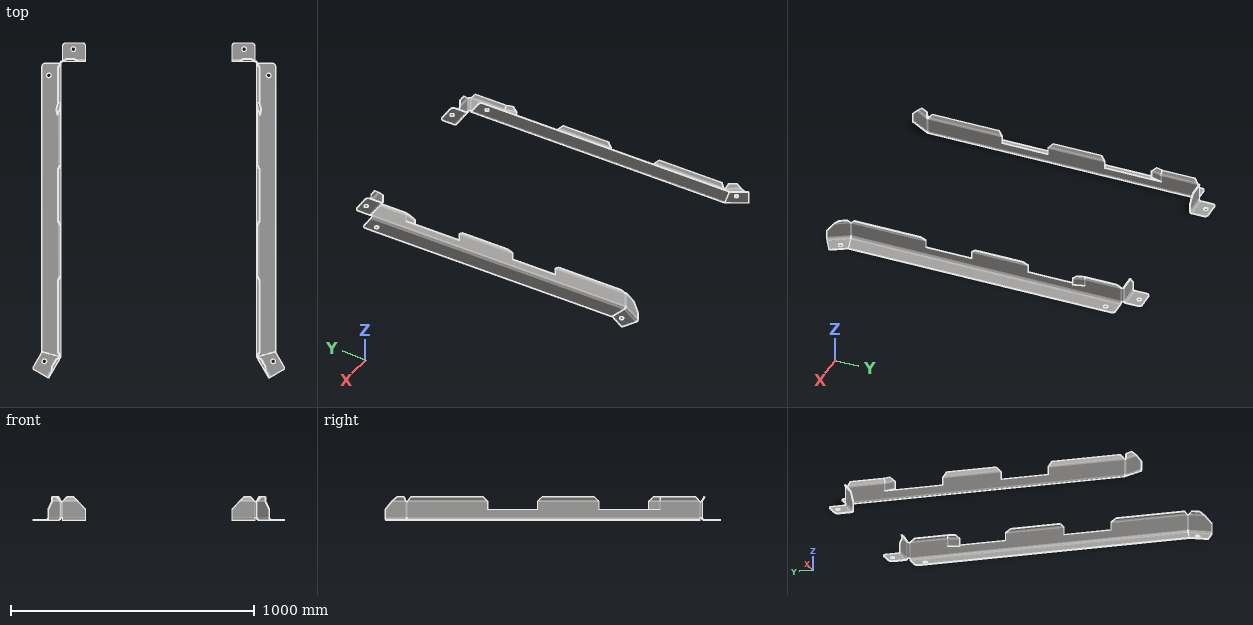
import cadquery as cq
import math


thickness = 4.0
inner_radius = 6.0
outer_radius = inner_radius + thickness
front_angle = 30.0
tab_angle = 30.0
lug_angle = 15.0

flange_width = 79.0
back_flange_width = 77.5
front_flange_width = 78.0
wall_height = 80.0
tab_length = 20.0
notch_floor = 45.0
section_margin = 10.0

overall_y = 1375.0
overall_x = 1032.49
end_run_length = 101.0
corner_radius = 14.0
front_corner_radius = 7.0
mitre_gap = 0.5

wall_slope_run = 30.0
free_inset = 20.0
front_bend_inset = 16.0
back_bend_inset = 18.0

lug_root = 440.0
lug_length = 50.0
middle_tab_back = 190.0
middle_tab_front = -63.0
front_tab_back = -266.0

hole_diameter = 18.0
hole_offset = 50.0
side_hole_from_back = 50.0
front_hole_from_bend = 50.0
back_hole_from_edge = 26.0

front_rad = math.radians(front_angle)
tab_rad = math.radians(tab_angle)
half_turn_tan = math.tan(front_rad / 2)
bend_setback = outer_radius * half_turn_tan
tab_bend_setback = outer_radius * math.tan(tab_rad / 2)
shoulder = wall_height - tab_bend_setback
top = wall_height + tab_length * math.cos(tab_rad)
front_corner_y = -overall_y / 2 + end_run_length * math.cos(front_rad)
back_wall_y = overall_y / 2 - back_flange_width
tip_reach = (
    (end_run_length - front_corner_radius) * math.sin(front_rad)
    + (front_flange_width - front_corner_radius) * math.cos(front_rad)
    + front_corner_radius
)
wall_x = -overall_x / 2 + tip_reach
side_front = front_corner_y + bend_setback
side_back = back_wall_y - inner_radius


def section(start, end, width):
    """Flange, wall and leaning tab, extruded along the run from start to end."""
    sin_tab = math.sin(tab_rad)
    cos_tab = math.cos(tab_rad)
    half_sin = math.sin(tab_rad / 2)
    half_cos = math.cos(tab_rad / 2)
    corner = math.sqrt(0.5)

    def on_flange_bend(radius):
        return (outer_radius - radius * corner, outer_radius - radius * corner)

    def on_tab_bend(radius, sine, cosine):
        return (outer_radius - radius * cosine, shoulder + radius * sine)

    tip = (tab_length * sin_tab, top)
    inner_tip = (tip[0] + thickness * cos_tab, tip[1] - thickness * sin_tab)
    profile = (
        cq.Workplane("YZ")
        .moveTo(width, 0)
        .lineTo(outer_radius, 0)
        .threePointArc(on_flange_bend(outer_radius), (0, outer_radius))
        .lineTo(0, shoulder)
        .threePointArc(
            on_tab_bend(outer_radius, half_sin, half_cos), on_tab_bend(outer_radius, sin_tab, cos_tab)
        )
        .lineTo(*tip)
        .lineTo(*inner_tip)
        .lineTo(*on_tab_bend(inner_radius, sin_tab, cos_tab))
        .threePointArc(on_tab_bend(inner_radius, half_sin, half_cos), (thickness, shoulder))
        .lineTo(thickness, outer_radius)
        .threePointArc(on_flange_bend(inner_radius), (outer_radius, thickness))
        .lineTo(width, thickness)
        .close()
    )
    return profile.extrude(end - start).translate((start, 0, 0))


def elevation(points):
    """Prism through the whole width of a run with the given outline along and up the wall."""
    depth = 2 * (flange_width + section_margin)
    return cq.Workplane("XZ").polyline(points).close().extrude(depth / 2, both=True)


def plan(points, round_corners, radius):
    """Prism through the whole height of a run, with the listed flange corners rounded."""
    prism = cq.Workplane("XY").polyline(points).close().extrude(top)
    for x, y in round_corners:
        prism = prism.edges(cq.selectors.NearestToPointSelector((x, y, top / 2))).fillet(radius)
    return prism


def hole(x, y):
    return cq.Workplane("XY").center(x, y).circle(hole_diameter / 2).extrude(outer_radius)


def place(run, x, y, turn):
    return run.rotate((0, 0, 0), (0, 0, 1), turn).translate((x, y, 0))


def vertical_bend(x, y, start_angle, sweep):
    """Curved wall joining two runs, clear of the flange bends."""
    bend = (
        cq.Workplane("XZ")
        .moveTo(inner_radius, outer_radius)
        .lineTo(outer_radius, outer_radius)
        .lineTo(outer_radius, shoulder)
        .lineTo(inner_radius, shoulder)
        .close()
        .revolve(sweep, (0, 0, 0), (0, 1, 0))
    )
    return place(bend, x, y, start_angle)


def back_run():
    start = inner_radius
    end = end_run_length
    tab_end = end - wall_slope_run
    outline = [
        (start, 0),
        (end, 0),
        (end, notch_floor),
        (tab_end, shoulder),
        (tab_end - free_inset, top),
        (start + back_bend_inset, top),
        (start, shoulder),
    ]
    width = back_flange_width
    footprint = [(start, 0), (end, 0), (end, width), (start, width)]
    run = section(start, end, width).intersect(elevation(outline))
    run = run.intersect(plan(footprint, [(start, width), (end, width)], corner_radius))
    run = run.cut(hole(end_run_length / 2, width - back_hole_from_edge))
    return place(run, wall_x, back_wall_y, 0)


def side_run():
    lug_end = lug_root - lug_length
    outline = [
        (side_front, 0),
        (side_back, 0),
        (side_back, shoulder),
        (side_back - back_bend_inset, top),
        (lug_root, top),
        (lug_root, notch_floor),
        (middle_tab_back, notch_floor),
        (middle_tab_back, shoulder),
        (middle_tab_back - free_inset, top),
        (middle_tab_front + free_inset, top),
        (middle_tab_front, shoulder),
        (middle_tab_front, notch_floor),
        (front_tab_back, notch_floor),
        (front_tab_back, shoulder),
        (front_tab_back - free_inset, top),
        (side_front + front_bend_inset, top),
        (side_front, shoulder),
    ]
    mitre_end = front_corner_y + flange_width * half_turn_tan + mitre_gap / 2
    footprint = [
        (side_front, 0),
        (side_front, outer_radius),
        (mitre_end, flange_width),
        (side_back, flange_width),
        (side_back, 0),
    ]
    lug_outline = [
        (lug_root, notch_floor),
        (lug_root, top),
        (lug_end + free_inset, top),
        (lug_end, shoulder),
        (lug_end, notch_floor),
    ]
    whole = section(side_front, side_back, flange_width)
    run = whole.intersect(elevation(outline))
    run = run.intersect(plan(footprint, [(side_back, flange_width)], corner_radius))
    run = run.cut(hole(side_back - side_hole_from_back, hole_offset))
    lug = whole.intersect(elevation(lug_outline))
    lug = lug.rotate((lug_root, 0, 0), (lug_root, 0, 1), -lug_angle)
    return place(run.union(lug), wall_x, 0, 90)


def front_run():
    start = -end_run_length
    end = -bend_setback
    tab_start = start + wall_slope_run
    outline = [
        (start, 0),
        (end, 0),
        (end, shoulder),
        (end - front_bend_inset, top),
        (tab_start + free_inset, top),
        (tab_start, shoulder),
        (start, notch_floor),
    ]
    mitre_end = -front_flange_width * half_turn_tan - mitre_gap / 2
    footprint = [
        (start, 0),
        (end, 0),
        (end, outer_radius),
        (mitre_end, front_flange_width),
        (start, front_flange_width),
    ]
    run = section(start, end, front_flange_width).intersect(elevation(outline))
    run = run.intersect(plan(footprint, [(start, front_flange_width)], front_corner_radius))
    run = run.cut(hole(-front_hole_from_bend, hole_offset))
    return place(run, wall_x, front_corner_y, 90 - front_angle)


def rail():
    back_bend = vertical_bend(wall_x + inner_radius, side_back, 90, 90)
    front_bend = vertical_bend(wall_x - outer_radius, side_front, -front_angle, front_angle)
    return side_run().union(back_bend).union(back_run()).union(front_bend).union(front_run())


left_rail = rail()
right_rail = left_rail.mirror("YZ")

result = cq.Compound.makeCompound([left_rail.val(), right_rail.val()])